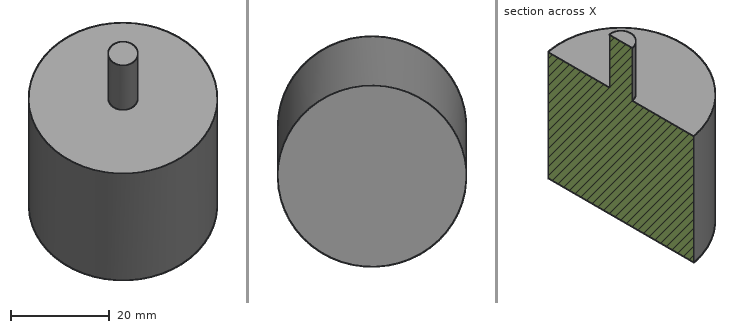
import cadquery as cq

total_height = 51.0
body_diameter = 38.2
body_height = 36.0
pin_diameter = 6.0
pin_height = total_height - body_height

body = cq.Workplane("XY").circle(body_diameter / 2).extrude(body_height)

result = body.faces(">Z").workplane().circle(pin_diameter / 2).extrude(pin_height)